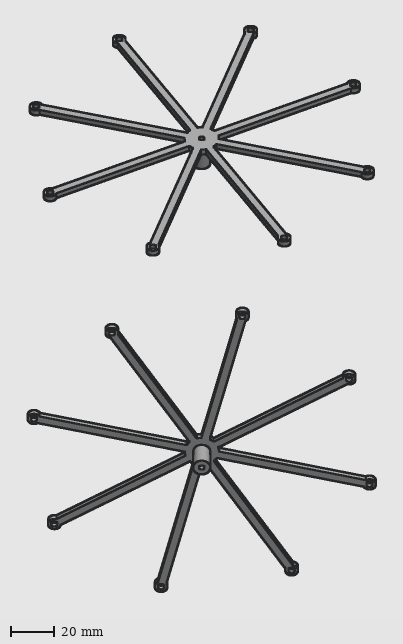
import cadquery as cq

span = 166.0
total_height = 15.5
plate_thickness = 3.0
arm_count = 8
arm_width = 4.0
eye_diameter = 6.0
eye_hole_diameter = 3.0
hub_diameter = 16.0
post_diameter = 8.0
center_hole_diameter = 2.5

eye_circle_radius = (span - eye_diameter) / 2
arm_angles = [i * 360 / arm_count for i in range(arm_count)]


def make_arm(angle):
    """Flat spoke from the hub centre to a round eye at its tip."""
    bar = (
        cq.Workplane("XY")
        .center(eye_circle_radius / 2, 0)
        .rect(eye_circle_radius, arm_width)
        .extrude(plate_thickness)
    )
    eye = (
        cq.Workplane("XY")
        .center(eye_circle_radius, 0)
        .circle(eye_diameter / 2)
        .extrude(plate_thickness)
    )
    return bar.union(eye).rotate((0, 0, 0), (0, 0, 1), angle)


hub = cq.Workplane("XY").circle(hub_diameter / 2).extrude(plate_thickness)
post = (
    cq.Workplane("XY")
    .workplane(offset=plate_thickness - total_height)
    .circle(post_diameter / 2)
    .extrude(total_height)
)
body = hub.union(post)
for arm_angle in arm_angles:
    body = body.union(make_arm(arm_angle))

eye_holes = (
    cq.Workplane("XY")
    .polarArray(eye_circle_radius, 0, 360, arm_count)
    .circle(eye_hole_diameter / 2)
    .extrude(plate_thickness)
)
result = body.cut(eye_holes).faces(">Z").workplane(origin=(0, 0, 0)).hole(center_hole_diameter)